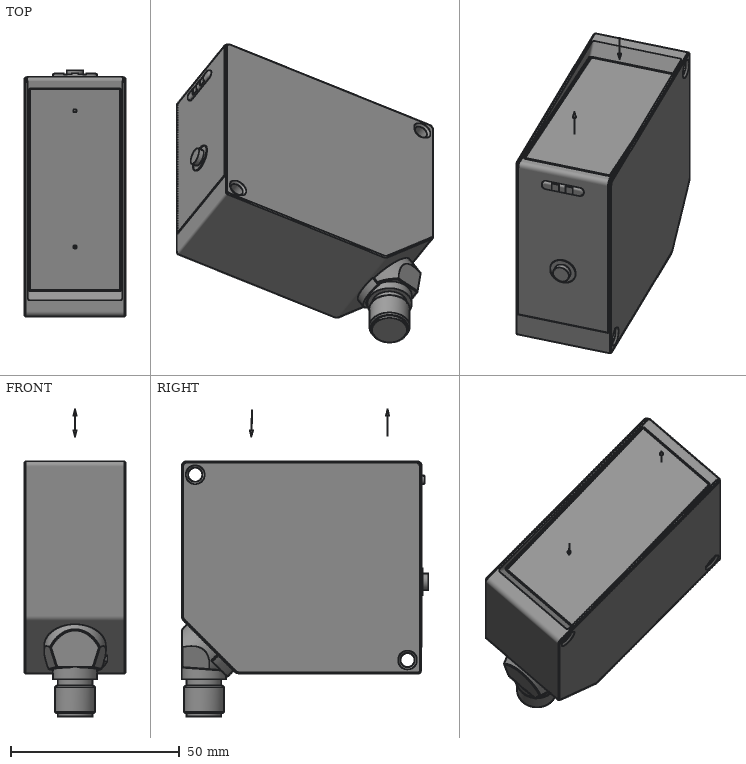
import cadquery as cq
import math


WIDTH = 30.0
DEPTH = 71.0
HEIGHT = 63.0
BEVEL_REACH = 16.25
CORNER_RADIUS = 1.5
BEVEL_CORNER_RADIUS = 2.0
BACK_BOTTOM_RADIUS = 0.8
SIDE_CHAMFER = 0.4

MOUNT_HOLE_DIAMETER = 4.13
MOUNT_SINK_DIAMETER = 5.6
MOUNT_INSET = 4.0

RECESS_WIDTH = 28.0
RECESS_FRONT = 4.8
RECESS_BACK = 70.05
RECESS_DEPTH = 3.8
FLOOR_FRONT = 7.6
RECESS_CORNER_RADIUS = 0.6
WINDOW_WIDTH = 27.3
WINDOW_BACK = 67.8
WINDOW_CORNER_RADIUS = 0.7
WINDOW_GROOVE = 0.3

PANEL_WIDTH = 28.2
PANEL_THICKNESS = 0.25
PANEL_ROOT = 2.0
PANEL_BOTTOM = 7.9
BUTTON_BASE_DIAMETER = 8.0
BUTTON_BASE_HEIGHT = 0.3
BUTTON_DIAMETER = 5.0
BUTTON_TOP = 73.15
BUTTON_Z = 27.2
LAMP_STRIP_LENGTH = 13.2
LAMP_STRIP_WIDTH = 2.7
LAMP_STRIP_HEIGHT = 0.9
LAMP_STRIP_FILLET = 0.6
LAMP_GAP_INNER = 1.0
LAMP_GAP_OUTER = 3.3
LAMP_GAP_DEPTH = 0.3
LAMP_Z = 57.5

ELBOW_RADIUS = 9.2
ELBOW_LENGTH = 16.0
ELBOW_ROOT = 1.0
FLAT_OFFSET = 10.05
FLAT_TAPER = 24.2
ELBOW_BOTTOM_Z = 1.75
ELBOW_BOTTOM_TILT = 4.3
ELBOW_CHAMFER = 0.25
STOP_RADIUS = 10.3
STOP_HEIGHT = 2.6
STOP_START_ANGLE = 22.0
STOP_SWEEP = 92.0

COLLAR_DIAMETER = 13.2
PLUG_Y = COLLAR_DIAMETER / 2
COLLAR_TOP = 2.5
COLLAR_BOTTOM = -1.75
NECK_DIAMETER = 10.4
NECK_BOTTOM = -3.4
NUT_DIAMETER = 12.0
NUT_TOP = -4.0
NUT_BOTTOM = -11.3
NUT_CHAMFER = 0.5
PLUG_BOTTOM = -12.8

ARROW_LENGTH = 8.0
ARROW_SHAFT_DIAMETER = 0.2
ARROW_HEAD_DIAMETER = 1.0
ARROW_HEAD_LENGTH = 2.0
ARROW_TOP = 78.49
SENT_BEAM_Y = 61.07
RECEIVED_BEAM_Y = 20.75
RECEIVED_BEAM_TOP = 78.2
RECEIVED_BEAM_TILT = 2.0

bevel_plane = cq.Plane(
    origin=(0, BEVEL_REACH / 2, BEVEL_REACH / 2), xDir=(1, 0, 0), normal=(0, -1, -1)
)


def extrude_across(points, width):
    """Extrude a (y, z) outline along X, centred on the middle of the housing."""
    return cq.Workplane("YZ").polyline(points).close().extrude(width / 2, both=True)


def make_block():
    block = extrude_across(
        [(0, BEVEL_REACH), (BEVEL_REACH, 0), (DEPTH, 0), (DEPTH, HEIGHT), (0, HEIGHT)], WIDTH
    )
    block = block.edges("|X and >Z").fillet(CORNER_RADIUS)
    block = block.edges(cq.selectors.NearestToPointSelector((0, 0, BEVEL_REACH))).fillet(BEVEL_CORNER_RADIUS)
    block = block.edges(cq.selectors.NearestToPointSelector((0, BEVEL_REACH, 0))).fillet(BEVEL_CORNER_RADIUS)
    block = block.edges(cq.selectors.NearestToPointSelector((0, DEPTH, 0))).fillet(BACK_BOTTOM_RADIUS)
    return block.faces("<X or >X").chamfer(SIDE_CHAMFER)


def make_mount_holes():
    sink_depth = (MOUNT_SINK_DIAMETER - MOUNT_HOLE_DIAMETER) / 2
    half = WIDTH / 2
    hole_radius = MOUNT_HOLE_DIAMETER / 2
    sink_radius = MOUNT_SINK_DIAMETER / 2
    hole = (
        cq.Workplane("XY")
        .polyline([
            (-half, 0), (-half, sink_radius), (-half + sink_depth, hole_radius),
            (half - sink_depth, hole_radius), (half, sink_radius), (half, 0),
        ])
        .close()
        .revolve(360, (0, 0, 0), (1, 0, 0))
    )
    front_hole = hole.translate((0, MOUNT_INSET, HEIGHT - MOUNT_INSET))
    back_hole = hole.translate((0, DEPTH - MOUNT_INSET, MOUNT_INSET))
    return front_hole.union(back_hole)


def make_window_recess():
    """Recess with rounded front corners, plus the groove around the window in its floor."""
    recess = extrude_across(
        [(RECESS_FRONT, HEIGHT), (FLOOR_FRONT, HEIGHT - RECESS_DEPTH), (RECESS_BACK, HEIGHT)], RECESS_WIDTH
    )
    middle_y = (RECESS_FRONT + FLOOR_FRONT) / 2
    middle_z = HEIGHT - RECESS_DEPTH / 2
    for x in (-RECESS_WIDTH / 2, RECESS_WIDTH / 2):
        corner = cq.selectors.NearestToPointSelector((x, middle_y, middle_z))
        recess = recess.edges(corner).fillet(RECESS_CORNER_RADIUS)

    floor_run = RECESS_BACK - FLOOR_FRONT
    floor_length = math.hypot(floor_run, RECESS_DEPTH)
    window_length = (WINDOW_BACK - FLOOR_FRONT) * floor_length / floor_run
    floor = cq.Workplane(cq.Plane(
        origin=(0, FLOOR_FRONT, HEIGHT - RECESS_DEPTH), xDir=(1, 0, 0), normal=(0, -RECESS_DEPTH, floor_run)
    )).center(0, window_length / 2)

    def window_slab(inset):
        outline = cq.Sketch().rect(WINDOW_WIDTH - 2 * inset, window_length - 2 * inset)
        outline = outline.vertices().fillet(WINDOW_CORNER_RADIUS - inset)
        return floor.placeSketch(outline).extrude(-WINDOW_GROOVE)

    return recess.union(window_slab(0).cut(window_slab(WINDOW_GROOVE)))


def make_lamp_strip(face):
    """Rounded strip on the panel, notched twice to leave three lamps."""
    strip = face.center(0, LAMP_Z).slot2D(LAMP_STRIP_LENGTH, LAMP_STRIP_WIDTH).extrude(LAMP_STRIP_HEIGHT)
    strip = strip.faces(">Y").edges().fillet(LAMP_STRIP_FILLET)
    gap_x = (LAMP_GAP_INNER + LAMP_GAP_OUTER) / 2
    gaps = (
        face.workplane(offset=LAMP_STRIP_HEIGHT - LAMP_GAP_DEPTH)
        .pushPoints([(-gap_x, LAMP_Z), (gap_x, LAMP_Z)])
        .rect(LAMP_GAP_OUTER - LAMP_GAP_INNER, LAMP_STRIP_WIDTH)
        .extrude(LAMP_GAP_DEPTH)
    )
    return strip.cut(gaps)


def make_back_panel():
    back = DEPTH + PANEL_THICKNESS
    root = DEPTH - PANEL_ROOT
    panel = extrude_across(
        [(root, PANEL_BOTTOM), (back, PANEL_BOTTOM), (back, HEIGHT), (root, HEIGHT)], PANEL_WIDTH
    )
    panel = panel.edges("|X and >Y and >Z").fillet(CORNER_RADIUS)

    face = cq.Workplane(cq.Plane(origin=(0, back, 0), xDir=(-1, 0, 0), normal=(0, 1, 0)))
    button_base = face.center(0, BUTTON_Z).circle(BUTTON_BASE_DIAMETER / 2).extrude(BUTTON_BASE_HEIGHT)
    button = face.center(0, BUTTON_Z).circle(BUTTON_DIAMETER / 2).extrude(BUTTON_TOP - back)
    return panel.union(button_base).union(button).union(make_lamp_strip(face))


def make_elbow():
    base = cq.Workplane(bevel_plane).workplane(offset=-ELBOW_ROOT)
    barrel = base.circle(ELBOW_RADIUS).extrude(ELBOW_ROOT + ELBOW_LENGTH)

    taper = math.tan(math.radians(FLAT_TAPER))
    root_half = FLAT_OFFSET + ELBOW_ROOT * taper
    tip_half = FLAT_OFFSET - ELBOW_LENGTH * taper
    flats_plane = cq.Plane(origin=bevel_plane.origin, xDir=(1, 0, 0), normal=(0, 1, -1))
    flats = (
        cq.Workplane(flats_plane)
        .polyline([
            (-root_half, -ELBOW_ROOT), (root_half, -ELBOW_ROOT),
            (tip_half, ELBOW_LENGTH), (-tip_half, ELBOW_LENGTH),
        ])
        .close()
        .extrude(2 * ELBOW_RADIUS, both=True)
    )

    reach = 2 * BEVEL_REACH
    bottom_back = ELBOW_BOTTOM_Z - reach * math.tan(math.radians(ELBOW_BOTTOM_TILT))
    trim = extrude_across(
        [(0, ELBOW_BOTTOM_Z), (reach, bottom_back), (reach, reach), (0, reach)], WIDTH
    )
    elbow = barrel.intersect(flats).intersect(trim)
    return elbow.faces("<Y or <Z").chamfer(ELBOW_CHAMFER)


def make_rotation_stop():
    """Round sector around the elbow on the bevel face."""
    start = math.radians(STOP_START_ANGLE)
    middle = math.radians(STOP_START_ANGLE + STOP_SWEEP / 2)
    end = math.radians(STOP_START_ANGLE + STOP_SWEEP)

    def rim(angle):
        return (STOP_RADIUS * math.cos(angle), -STOP_RADIUS * math.sin(angle))

    return (
        cq.Workplane(bevel_plane)
        .workplane(offset=-ELBOW_ROOT)
        .lineTo(*rim(start))
        .threePointArc(rim(middle), rim(end))
        .close()
        .extrude(ELBOW_ROOT + STOP_HEIGHT)
    )


def make_plug():
    collar = COLLAR_DIAMETER / 2
    neck = NECK_DIAMETER / 2
    nut = NUT_DIAMETER / 2
    profile = [
        (0, COLLAR_TOP), (collar, COLLAR_TOP), (collar, COLLAR_BOTTOM),
        (neck, COLLAR_BOTTOM), (neck, NECK_BOTTOM), (nut, NUT_TOP),
        (nut, NUT_BOTTOM), (nut - NUT_CHAMFER, NUT_BOTTOM - NUT_CHAMFER), (neck, NUT_BOTTOM - NUT_CHAMFER),
        (neck, PLUG_BOTTOM), (0, PLUG_BOTTOM),
    ]
    plug = cq.Workplane("XZ").polyline(profile).close().revolve(360, (0, 0, 0), (0, 1, 0))
    return plug.translate((0, PLUG_Y, 0))


def make_arrow():
    """Arrow along Z, tail at the origin and head pointing up."""
    shaft = ARROW_SHAFT_DIAMETER / 2
    head = ARROW_HEAD_DIAMETER / 2
    neck_z = ARROW_LENGTH - ARROW_HEAD_LENGTH
    profile = [(0, 0), (shaft, 0), (shaft, neck_z), (head, neck_z), (0, ARROW_LENGTH)]
    return cq.Workplane("XZ").polyline(profile).close().revolve(360, (0, 0, 0), (0, 1, 0))


housing = (
    make_block()
    .union(make_back_panel())
    .cut(make_window_recess())
    .cut(make_mount_holes())
    .union(make_elbow())
    .union(make_rotation_stop())
    .union(make_plug())
)

sent_beam = make_arrow().translate((0, SENT_BEAM_Y, ARROW_TOP - ARROW_LENGTH))

received_beam = (
    make_arrow()
    .translate((0, 0, -ARROW_LENGTH / 2))
    .rotate((0, 0, 0), (1, 0, 0), 180 - RECEIVED_BEAM_TILT)
    .translate((0, RECEIVED_BEAM_Y, RECEIVED_BEAM_TOP - ARROW_LENGTH / 2))
)

result = cq.Compound.makeCompound([housing.val(), sent_beam.val(), received_beam.val()])